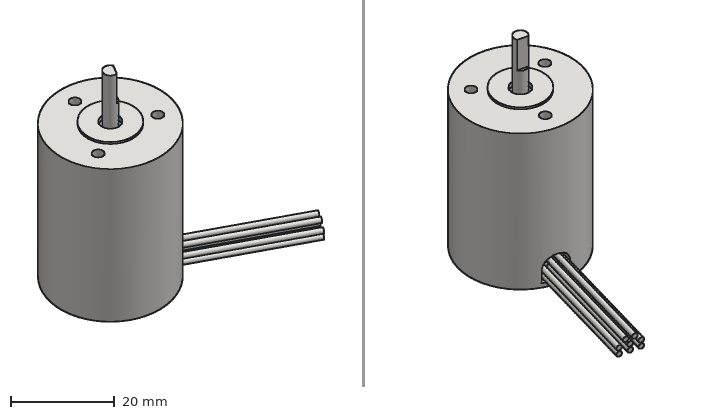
import cadquery as cq

body_diameter = 28.0
body_height = 38.0
body_radius = body_diameter / 2

boss_diameter = 12.7
boss_height = 0.5
recess_diameter = 4.6
recess_depth = 1.1
boss_top = body_height + boss_height

shaft_diameter = 3.2
shaft_top = 51.2
flat_offset = 0.95
flat_start = boss_top + 5.2

mount_hole_diameter = 2.45
mount_hole_depth = 3.35
mount_circle_radius = 9.5
mount_hole_count = 3
first_hole_angle = 90

opening_width = 6.4
opening_bottom = 1.05
opening_top = 7.3
opening_floor = 11.2

wire_diameter = 1.3
wire_end = 42.0
wire_row_pitch = 1.5
middle_row_height = 4.0
outer_wire_offset = 2.45
top_wire_offset = 1.0


def make_housing():
    housing = cq.Workplane("XY").circle(body_radius).extrude(body_height)
    boss = cq.Workplane("XY").workplane(offset=body_height).circle(boss_diameter / 2).extrude(boss_height)
    recess = cq.Workplane("XY").workplane(offset=boss_top).circle(recess_diameter / 2).extrude(-recess_depth)
    return housing.union(boss).cut(recess)


def make_mount_holes():
    return (
        cq.Workplane("XY")
        .workplane(offset=body_height)
        .polarArray(mount_circle_radius, first_hole_angle, 360, mount_hole_count)
        .circle(mount_hole_diameter / 2)
        .extrude(-mount_hole_depth)
    )


def make_cable_opening():
    half_width = opening_width / 2
    arch_start = opening_top - half_width
    return (
        cq.Workplane("XZ", origin=(0, opening_floor, 0))
        .moveTo(-half_width, opening_bottom)
        .lineTo(half_width, opening_bottom)
        .lineTo(half_width, arch_start)
        .threePointArc((0, opening_top), (-half_width, arch_start))
        .close()
        .extrude(opening_floor - body_radius)
    )


def make_shaft():
    shaft_bottom = boss_top - recess_depth
    shaft = (
        cq.Workplane("XY")
        .workplane(offset=shaft_bottom)
        .circle(shaft_diameter / 2)
        .extrude(shaft_top - shaft_bottom)
    )
    flat_cut = (
        cq.Workplane("XY", origin=(0, flat_offset, flat_start))
        .box(shaft_diameter, shaft_diameter, shaft_top - flat_start, centered=(True, False, False))
    )
    return shaft.cut(flat_cut)


def make_wires():
    full_row = (-outer_wire_offset, 0, outer_wire_offset)
    top_row = (-top_wire_offset, top_wire_offset)
    positions = [(x, middle_row_height - wire_row_pitch) for x in full_row]
    positions += [(x, middle_row_height) for x in full_row]
    positions += [(x, middle_row_height + wire_row_pitch) for x in top_row]
    return (
        cq.Workplane("XZ", origin=(0, opening_floor, 0))
        .pushPoints(positions)
        .circle(wire_diameter / 2)
        .extrude(opening_floor - wire_end)
    )


housing = make_housing().cut(make_mount_holes()).cut(make_cable_opening())
result = housing.union(make_shaft()).union(make_wires())